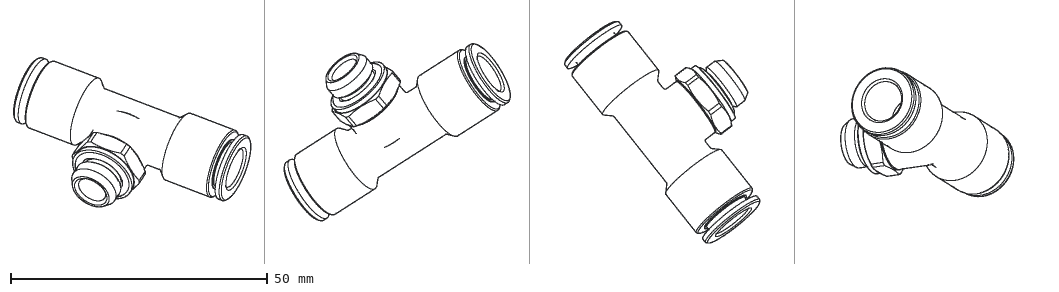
import cadquery as cq
import math

half_length = 22.7
tube_radius = 5.5
body_radius = 7.0
body_face_radius = 6.7
body_outer_end = 20.0
body_inner_end = 10.05
body_edge_length = 0.25
shoulder_blend_radius = 0.65
lip_radius = 5.18
lip_length = 0.2

collar_radius = 6.75
collar_thickness = 1.2
collar_chamfer = 0.3
collar_neck_radius = 4.7
collar_neck_round = 0.23

passage_radius = 3.0
socket_radius = 4.0
socket_lead_in = 0.45
socket_depth = 12.7
stop_cone_length = 0.6

branch_radius = 6.25
branch_start = 1.25
branch_start_round = 0.5
branch_blend_radius = 0.5
branch_end_chamfer = 0.23
selection_margin = 0.23

hex_start = 8.4
hex_end = 12.0
hex_across_flats = 13.08
hex_corner_radius = 7.3
hex_edge_radius = 6.35
hex_edge_length = 0.45

flange_radius = 6.5
flange_end = 13.05
seal_center_radius = 5.18
seal_section_radius = 0.7
groove_radius = 4.1
groove_end = 14.05
stud_radius = 4.85
stud_cylinder_start = 14.6
stud_cylinder_end = 16.65
stud_tip_radius = 4.05
stud_end = 18.02
stud_bore_radius = 2.95
stud_bore_mouth_radius = 3.55
stud_bore_chamfer_length = 0.6


def turned_about_x(profile):
    """Revolve (x, radius) points about the X axis."""
    return cq.Workplane("XY").polyline(profile).close().revolve(360, (0, 0, 0), (1, 0, 0))


def turned_about_y(profile):
    """Revolve (radius, distance towards -Y) points about the Y axis."""
    points = [(radius, -distance) for radius, distance in profile]
    return cq.Workplane("XY").polyline(points).close().revolve(360, (0, 0, 0), (0, 1, 0))


def both_ends(right_end):
    """Join a feature of the +X end with its mirror image at the -X end."""
    return right_end.union(right_end.mirror("YZ"))


def tube_with_branch():
    """Centre tube and branch cylinder, blended along their meeting line."""
    tube = cq.Workplane("YZ").circle(tube_radius).extrude(body_inner_end, both=True)
    branch = (
        cq.Workplane("XZ", origin=(0, -branch_start, 0))
        .circle(branch_radius)
        .extrude(hex_start - branch_start)
    )
    branch = branch.faces(">Y").edges().fillet(branch_start_round)
    branch = branch.faces("<Y").edges().chamfer(branch_end_chamfer)
    joined = tube.union(branch)
    box_half_width = branch_radius + selection_margin
    box_half_height = tube_radius + selection_margin
    meeting_line = cq.selectors.BoxSelector(
        (-box_half_width, -tube_radius - selection_margin, -box_half_height),
        (box_half_width, 0, box_half_height),
    )
    return joined.edges(meeting_line).fillet(branch_blend_radius)


def socket_body():
    """Push-in socket at the +X end, with its release collar."""
    collar_inner = half_length - collar_thickness
    lip_end = body_outer_end + lip_length
    cone_foot = body_inner_end - (body_radius - tube_radius)
    tangent_length = shoulder_blend_radius * math.tan(math.pi / 8)
    diagonal_step = tangent_length * math.sqrt(0.5)
    blend_start = (cone_foot - tangent_length, tube_radius)
    blend_end = (cone_foot + diagonal_step, tube_radius + diagonal_step)
    blend_middle = (
        blend_start[0] + shoulder_blend_radius * math.sin(math.pi / 8),
        tube_radius + shoulder_blend_radius * (1 - math.cos(math.pi / 8)),
    )
    return (
        cq.Workplane("XY")
        .moveTo(blend_start[0], 0)
        .lineTo(*blend_start)
        .threePointArc(blend_middle, blend_end)
        .lineTo(body_inner_end, body_radius)
        .lineTo(body_outer_end - body_edge_length, body_radius)
        .lineTo(body_outer_end, body_face_radius)
        .lineTo(body_outer_end, lip_radius)
        .lineTo(lip_end, lip_radius)
        .lineTo(lip_end, collar_neck_radius)
        .lineTo(collar_inner - collar_neck_round, collar_neck_radius)
        .radiusArc((collar_inner, collar_neck_radius + collar_neck_round), -collar_neck_round)
        .lineTo(collar_inner, collar_radius)
        .lineTo(half_length - collar_chamfer, collar_radius)
        .lineTo(half_length, collar_radius - collar_chamfer)
        .lineTo(half_length, 0)
        .close()
        .revolve(360, (0, 0, 0), (1, 0, 0))
    )


def socket_bore():
    """Lead-in, tube socket and conical stop at the +X end."""
    stop_start = half_length - socket_depth
    return turned_about_x([
        (stop_start - stop_cone_length, 0),
        (stop_start - stop_cone_length, passage_radius),
        (stop_start, socket_radius),
        (half_length - socket_lead_in, socket_radius),
        (half_length, socket_radius + socket_lead_in),
        (half_length, 0),
    ])


def hexagon():
    """Hexagon with flats facing +Z and -Z and its corners turned off."""
    prism = (
        cq.Workplane("XZ", origin=(0, -hex_start, 0))
        .polygon(6, hex_across_flats / math.cos(math.pi / 6))
        .extrude(hex_end - hex_start)
    )
    turned_envelope = turned_about_y([
        (0, hex_start),
        (hex_edge_radius, hex_start),
        (hex_corner_radius, hex_start + hex_edge_length),
        (hex_corner_radius, hex_end - hex_edge_length),
        (hex_edge_radius, hex_end),
        (0, hex_end),
    ])
    return prism.intersect(turned_envelope)


def stud():
    """Seat flange, neck groove and chamfered stud."""
    return turned_about_y([
        (0, hex_end),
        (flange_radius, hex_end),
        (flange_radius, flange_end),
        (groove_radius, flange_end),
        (groove_radius, groove_end),
        (stud_radius, stud_cylinder_start),
        (stud_radius, stud_cylinder_end),
        (stud_tip_radius, stud_end),
        (0, stud_end),
    ])


def seal_ring():
    """O-ring seated half way into the flange."""
    section = cq.Workplane("XY").center(seal_center_radius, -flange_end).circle(seal_section_radius)
    return section.revolve(360, (-seal_center_radius, 0, 0), (-seal_center_radius, 1, 0))


def stud_bore():
    """Branch passage from the main run to the chamfered stud mouth."""
    return turned_about_y([
        (0, 0),
        (stud_bore_radius, 0),
        (stud_bore_radius, stud_end - stud_bore_chamfer_length),
        (stud_bore_mouth_radius, stud_end),
        (0, stud_end),
    ])


passage = cq.Workplane("YZ").circle(passage_radius).extrude(half_length, both=True)

result = (
    tube_with_branch()
    .union(both_ends(socket_body()))
    .union(hexagon())
    .union(stud())
    .union(seal_ring())
    .cut(passage)
    .cut(both_ends(socket_bore()))
    .cut(stud_bore())
)